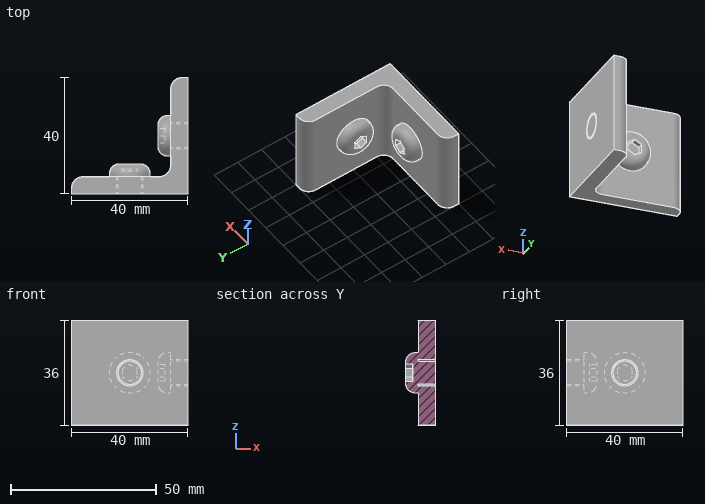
import cadquery as cq
import math

leg_length = 40.0
leg_thickness = 6.0
bracket_height = 36.0
edge_radius = 4.0

head_diameter = 14.0
head_height = 4.4
head_rounding = 3.4
socket_across_flats = 5.0
socket_depth = 2.5
shank_diameter = 8.0
hole_diameter = 9.0
under_head_fillet = 0.4

leg_middle = leg_length / 2
mid_height = bracket_height / 2


def make_bracket():
    """Equal-leg angle profile extruded upward, with rounded inner edges."""
    inner_corner = (-leg_thickness, leg_thickness)
    profile = [
        (0, 0),
        (0, leg_length),
        (-leg_thickness, leg_length),
        inner_corner,
        (-leg_length, leg_thickness),
        (-leg_length, 0),
    ]
    bracket = cq.Workplane("XY").polyline(profile).close().extrude(bracket_height)
    rounded_corners = [
        (-leg_thickness, leg_length),
        inner_corner,
        (-leg_length, leg_thickness),
    ]
    for x, y in rounded_corners:
        corner_edge = cq.selectors.NearestToPointSelector((x, y, mid_height))
        bracket = bracket.edges("|Z").edges(corner_edge).fillet(edge_radius)
    return bracket


def make_clearance(plane):
    """Ring-shaped gap between shank and hole, closed by the head with a fillet around the shank."""
    gap = (
        cq.Workplane(plane)
        .circle(hole_diameter / 2)
        .circle(shank_diameter / 2)
        .extrude(leg_thickness)
    )
    head_seat = plane.toWorldCoords((0, 0, leg_thickness))
    gap_end = gap.faces(cq.selectors.NearestToPointSelector(head_seat))
    return gap_end.edges(cq.selectors.RadiusNthSelector(0)).fillet(under_head_fillet)


def make_head(plane):
    """Round-topped button head standing on the inner face of the leg."""
    head = (
        cq.Workplane(plane)
        .workplane(offset=leg_thickness)
        .circle(head_diameter / 2)
        .extrude(head_height)
    )
    top_point = plane.toWorldCoords((0, 0, leg_thickness + head_height))
    return head.faces(cq.selectors.NearestToPointSelector(top_point)).edges().fillet(head_rounding)


def make_socket(plane):
    """Hexagonal recess in the head, with two corners in line with Z."""
    across_corners = socket_across_flats / math.cos(math.pi / 6)
    return (
        cq.Workplane(plane)
        .workplane(offset=leg_thickness + head_height)
        .polygon(6, across_corners)
        .extrude(-socket_depth)
    )


screw_planes = [
    cq.Plane(origin=(-leg_middle, 0, mid_height), xDir=(0, 0, 1), normal=(0, 1, 0)),
    cq.Plane(origin=(0, leg_middle, mid_height), xDir=(0, 0, 1), normal=(-1, 0, 0)),
]

result = make_bracket()
for screw_plane in screw_planes:
    result = result.union(make_head(screw_plane))
    result = result.cut(make_socket(screw_plane))
    result = result.cut(make_clearance(screw_plane))